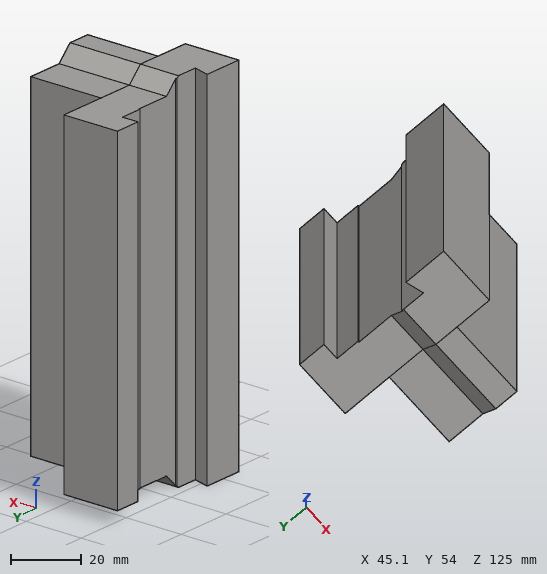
import cadquery as cq

LENGTH = 125.0
TOTAL_DEPTH = 45.1

RAIL_WIDTH = 54.0
RAIL_DEPTH = 19.5
SLOT_DEPTH = 5.6
SLOT_SQUARE_Y = 44.9
SLOT_MOUTH_Y = 14.1
SLOT_UNDERCUT_Y = 12.5
RELIEF_DEPTH = 0.4
RELIEF_START_Y = 20.8
RELIEF_END_Y = 37.0

STEM_START_Y = 12.1
STEM_WIDTH = 25.4

STEP_HEIGHT = 4.9
STEP_START_Y = 20.0
STEP_SLOPE_RUN = STEP_HEIGHT


def stepped_envelope():
    """Side outline in YZ, shortened at both ends, extruded through the full depth."""
    slope_end_y = STEP_START_Y + STEP_SLOPE_RUN
    return (
        cq.Workplane("YZ")
        .polyline([
            (0, 0),
            (STEP_START_Y, 0),
            (slope_end_y, STEP_HEIGHT),
            (RAIL_WIDTH, STEP_HEIGHT),
            (RAIL_WIDTH, LENGTH - STEP_HEIGHT),
            (slope_end_y, LENGTH - STEP_HEIGHT),
            (STEP_START_Y, LENGTH),
            (0, LENGTH),
        ])
        .close()
        .extrude(TOTAL_DEPTH)
    )


def make_rail():
    """Slotted rail with one undercut wall, one square wall and a relieved floor."""
    relief_floor_x = SLOT_DEPTH + RELIEF_DEPTH
    profile = (
        cq.Workplane("XY")
        .polyline([
            (0, 0),
            (RAIL_DEPTH, 0),
            (RAIL_DEPTH, RAIL_WIDTH),
            (0, RAIL_WIDTH),
            (0, SLOT_SQUARE_Y),
            (SLOT_DEPTH, SLOT_SQUARE_Y),
            (SLOT_DEPTH, RELIEF_END_Y),
            (relief_floor_x, RELIEF_END_Y),
            (relief_floor_x, RELIEF_START_Y),
            (SLOT_DEPTH, RELIEF_START_Y),
            (SLOT_DEPTH, SLOT_UNDERCUT_Y),
            (0, SLOT_MOUTH_Y),
        ])
        .close()
    )
    return profile.extrude(LENGTH).intersect(stepped_envelope())


def make_stem():
    """Rectangular bar that carries the same end steps as the rail."""
    bar = cq.Workplane("XY").box(TOTAL_DEPTH - RAIL_DEPTH, STEM_WIDTH, LENGTH, centered=False)
    return bar.translate((RAIL_DEPTH, STEM_START_Y, 0)).intersect(stepped_envelope())


rail = make_rail()
stem = make_stem()
result = cq.Compound.makeCompound([*rail.solids().vals(), *stem.solids().vals()])